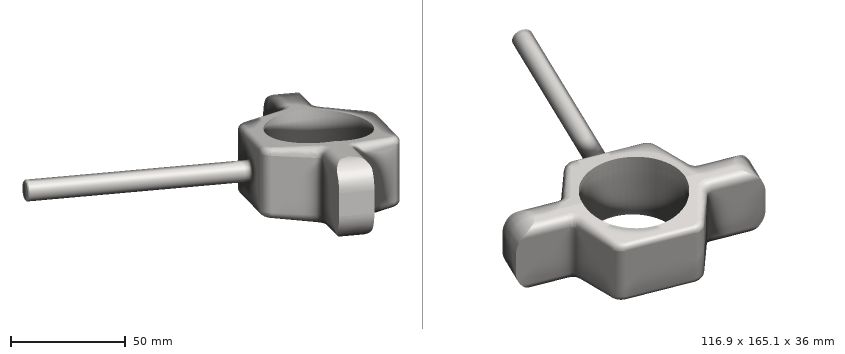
import cadquery as cq
import math

span_x = 116.9
total_y = 165.1
ridge_z = 18.0
roof_slope = 4.0

body_depth = 63.4
body_half_y = body_depth / 2
arm_width = 16.0
arm_half_y = arm_width / 2
flat_half_x = 20.1
arm_root_x = 31.2
corner_radius = 6.3
root_radius = 3.3
end_radius = 12.7
bore_diameter = 48.2

rim_start_z = 13.2

rod_diameter = 9.5
rod_base_radius = 0.8
rod_tip_chamfer = 0.5
rod_overlap = 1.7

slope_tangent = math.tan(math.radians(roof_slope))
tolerance = 0.02


def is_at(x, y):
    """Select the vertical edges at the mirrored positions of one outline corner."""
    return lambda edge: (
        abs(abs(edge.Center().x) - x) < tolerance and abs(abs(edge.Center().y) - y) < tolerance
    )


def sharp_head():
    """Six-sided body with two arms and a gently pitched top and bottom."""
    quarter = [(flat_half_x, body_half_y), (arm_root_x, arm_half_y), (span_x / 2, arm_half_y)]
    right = quarter + [(x, -y) for x, y in reversed(quarter)]
    left = [(-x, -y) for x, y in right]
    outline = cq.Workplane("XY").polyline(right + left).close().extrude(ridge_z, both=True)
    outline = outline.edges("|Z").filter(is_at(flat_half_x, body_half_y)).fillet(corner_radius)
    outline = outline.edges("|Z").filter(is_at(arm_root_x, arm_half_y)).fillet(root_radius)

    eave_z = ridge_z - body_half_y * slope_tangent
    pitched = (
        cq.Workplane("YZ")
        .polyline([
            (0, ridge_z), (body_half_y, eave_z), (body_half_y, -eave_z),
            (0, -ridge_z), (-body_half_y, -eave_z), (-body_half_y, eave_z),
        ])
        .close()
        .extrude(span_x / 2, both=True)
    )
    return outline.intersect(pitched)


def rim_radius(y):
    """Radius that makes the rounding start at rim_start_z where the rim is at this y."""
    setback = ridge_z - abs(y) * slope_tangent - rim_start_z
    return setback / math.tan(math.radians(45 - roof_slope / 2))


def round_rims(head):
    """Round the top and bottom rims; the radius grows as the roof rises."""
    solid = head.val()
    rounding = cq.occ_impl.shapes.BRepFilletAPI_MakeFillet(solid.wrapped)
    for edge in solid.Edges():
        center = edge.Center()
        on_rim = abs(center.z) > rim_start_z and abs(center.y) > arm_half_y - tolerance
        if on_rim:
            rounding.Add(edge.wrapped)
            contour = rounding.Contour(edge.wrapped)
            for vertex in edge.Vertices():
                rounding.SetRadius(rim_radius(vertex.Y), contour, vertex.wrapped)
    return cq.Workplane(cq.Shape.cast(rounding.Shape()))


def end_envelope():
    """Block that rounds off the arm ends as seen along Y."""
    block = cq.Workplane("XY").box(span_x, body_depth, 2 * ridge_z)
    return block.edges("|Y").fillet(end_radius)


def rod():
    """Round rod along -Y with a flared base and a chamfered tip."""
    radius = rod_diameter / 2
    tip_y = body_half_y - total_y
    base_y = -body_half_y
    inner_y = base_y + rod_overlap
    profile = (
        cq.Workplane("XY")
        .moveTo(0, inner_y)
        .lineTo(radius + rod_base_radius, inner_y)
        .lineTo(radius + rod_base_radius, base_y)
        .radiusArc((radius, base_y - rod_base_radius), -rod_base_radius)
        .lineTo(radius, tip_y + rod_tip_chamfer)
        .lineTo(radius - rod_tip_chamfer, tip_y)
        .lineTo(0, tip_y)
        .close()
    )
    return profile.revolve(360, (0, 0), (0, 1))


head = round_rims(sharp_head()).intersect(end_envelope())
bore = cq.Workplane("XY").circle(bore_diameter / 2).extrude(ridge_z, both=True)
result = head.cut(bore).union(rod())